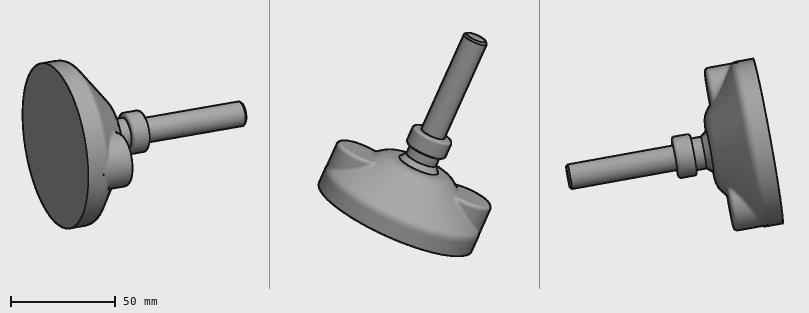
import cadquery as cq
import math

foot_diameter = 80.0
foot_radius = foot_diameter / 2
rim_height = 7.8
foot_height = 28.1
cone_angle = 52.0
rim_round = 4.7
crown_round = 9.7

lug_radius = 13.0
lug_offset = foot_radius - lug_radius
lug_height = 23.7
lug_top_round = 2.0
lug_blend = 2.0

total_length = 97.0
flare_radius = 10.1
flare_height = 3.0
neck_radius = 7.8
collar_start = 36.1
collar_end = 45.1
collar_radius = 10.1
collar_round = 1.5
rod_radius = 6.0
rod_chamfer = 1.0


def arc_point(center, radius, degrees):
    """Point (radius, height) on an arc; the angle is measured from the radial direction."""
    angle = math.radians(degrees)
    return (center[0] + radius * math.cos(angle), center[1] + radius * math.sin(angle))


def foot_body():
    """Disc with a rounded conical top."""
    rim_center = (foot_radius - rim_round, rim_height)
    cone_start = arc_point(rim_center, rim_round, cone_angle)
    crown_height = foot_height - crown_round
    crown_rise = crown_height + crown_round * math.sin(math.radians(cone_angle))
    cone_run = (crown_rise - cone_start[1]) * math.tan(math.radians(cone_angle))
    crown_center_radius = cone_start[0] - cone_run - crown_round * math.cos(math.radians(cone_angle))
    crown_center = (crown_center_radius, crown_height)
    return (
        cq.Workplane("XY")
        .lineTo(foot_radius, 0)
        .lineTo(foot_radius, rim_height)
        .threePointArc(arc_point(rim_center, rim_round, cone_angle / 2), cone_start)
        .lineTo(*arc_point(crown_center, crown_round, cone_angle))
        .threePointArc(
            arc_point(crown_center, crown_round, (cone_angle + 90) / 2),
            (crown_center_radius, foot_height),
        )
        .lineTo(0, foot_height)
        .close()
        .revolve(360, (0, 0, 0), (0, 1, 0))
    )


def make_lug():
    """Upright round lug with a rounded top edge, on the +X side."""
    return (
        cq.Workplane("XZ", origin=(lug_offset, 0, 0))
        .circle(lug_radius)
        .extrude(-lug_height)
        .faces(">Y")
        .edges()
        .fillet(lug_top_round)
    )


def make_foot():
    """Rim disc under a top with two lugs; a quarter of the top is blended, then mirrored twice."""
    quadrant = cq.Workplane("XY").box(foot_radius, foot_height, foot_radius, centered=False)
    quarter = foot_body().intersect(quadrant).union(make_lug().intersect(quadrant))
    quarter = quarter.edges("%BSPLINE").fillet(lug_blend)
    rim = cq.Workplane("XZ").circle(foot_radius).extrude(-rim_height)
    quarter_top = quarter.cut(rim)
    half_top = quarter_top.union(quarter_top.mirror("XY"))
    return rim.union(half_top).union(half_top.mirror("YZ"))


def make_stud():
    """Flared neck, round collar and plain rod."""
    flare_top = foot_height + flare_height
    neck = (
        cq.Workplane("XY")
        .moveTo(0, foot_height)
        .lineTo(flare_radius, foot_height)
        .lineTo(neck_radius, flare_top)
        .lineTo(neck_radius, collar_start)
        .lineTo(0, collar_start)
        .close()
        .revolve(360, (0, 0, 0), (0, 1, 0))
    )
    collar = (
        cq.Workplane("XZ", origin=(0, collar_start, 0))
        .circle(collar_radius)
        .extrude(collar_start - collar_end)
        .edges()
        .fillet(collar_round)
    )
    rod = (
        cq.Workplane("XZ", origin=(0, collar_end, 0))
        .circle(rod_radius)
        .extrude(collar_end - total_length)
        .faces(">Y")
        .chamfer(rod_chamfer)
    )
    return neck.union(collar).union(rod)


foot = make_foot()
stud = make_stud()

result = cq.Compound.makeCompound([foot.solids().val(), stud.solids().val()])